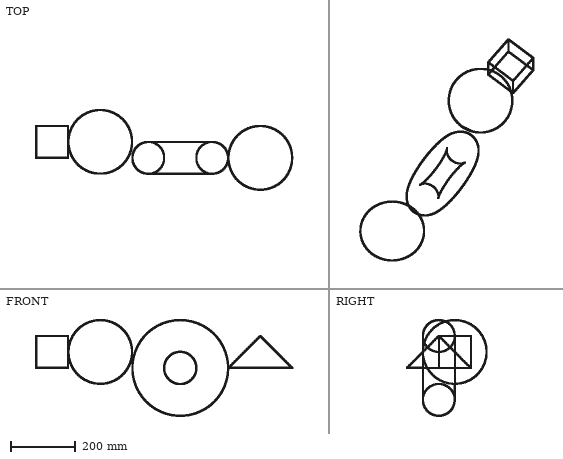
import cadquery as cq

cube_edge = 100.0
sphere_radius = cube_edge
ring_radius = cube_edge
tube_radius = cube_edge / 2
cone_radius = cube_edge
cone_height = cube_edge

cube_middle = cube_edge / 2
sphere_x = cube_edge + sphere_radius
ring_x = sphere_x + sphere_radius + ring_radius + tube_radius
cone_x = ring_x + ring_radius + tube_radius + cone_radius


def make_cube():
    """Cube with one corner at the origin."""
    return cq.Workplane("XY").box(cube_edge, cube_edge, cube_edge, centered=False)


def make_sphere():
    """Sphere level with the middle of the cube and touching its +X face."""
    return cq.Workplane("XY").sphere(sphere_radius).translate((sphere_x, cube_middle, cube_middle))


def make_ring():
    """Upright torus with its axis along Y."""
    return cq.Workplane(
        cq.Solid.makeTorus(ring_radius, tube_radius, cq.Vector(ring_x, 0, 0), cq.Vector(0, 1, 0))
    )


def make_cone():
    """Pointed cone with its apex up."""
    return cq.Workplane(
        cq.Solid.makeCone(cone_radius, 0, cone_height, cq.Vector(cone_x, 0, 0), cq.Vector(0, 0, 1))
    )


cube = make_cube()
sphere = make_sphere()
ring = make_ring()
cone = make_cone()

result = cq.Compound.makeCompound([cube.val(), sphere.val(), ring.val(), cone.val()])